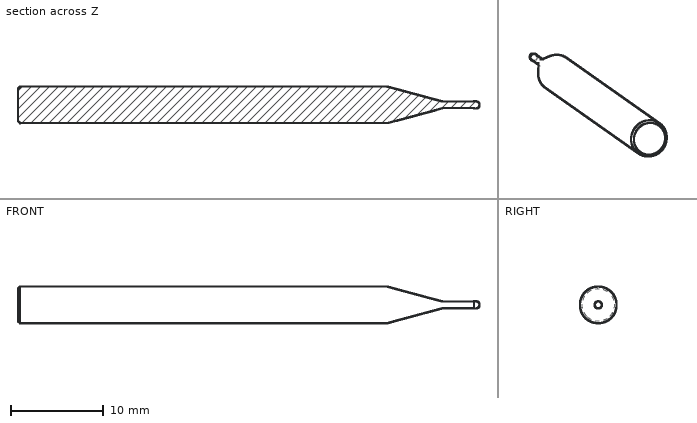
import cadquery as cq
import math

overall_length = 50.0
shank_radius = 2.0
shank_length = 40.0
back_chamfer = 0.25
taper_length = 6.0
neck_radius = 0.375
ball_radius = 0.4
cutting_length = 0.6

taper_end = shank_length + taper_length
cutting_start = overall_length - cutting_length
ball_center = overall_length - ball_radius
ball_mid_offset = ball_radius * math.sqrt(0.5)

profile = (
    cq.Workplane("XY")
    .moveTo(0, 0)
    .lineTo(0, shank_radius - back_chamfer)
    .lineTo(back_chamfer, shank_radius)
    .lineTo(shank_length, shank_radius)
    .lineTo(taper_end, neck_radius)
    .lineTo(cutting_start, neck_radius)
    .lineTo(cutting_start, ball_radius)
    .lineTo(ball_center, ball_radius)
    .threePointArc(
        (ball_center + ball_mid_offset, ball_mid_offset),
        (overall_length, 0),
    )
    .close()
)

result = profile.revolve(360, (0, 0, 0), (1, 0, 0))